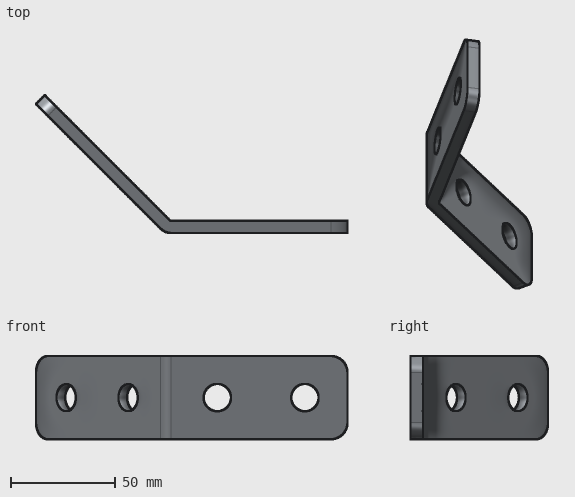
import cadquery as cq
import math

overall_length = 149.4
width = 40.0
thickness = 6.0
bend_angle = 45.0
outer_bend_radius = 7.0
corner_radius = 8.0
hole_diameter = 13.0
end_to_hole = 20.5
hole_spacing = 42.0

inner_bend_radius = outer_bend_radius - thickness
bend_radians = math.radians(bend_angle)
bend_run = outer_bend_radius * math.sin(bend_radians)
leg_length = (overall_length - bend_run) / (1 + math.cos(bend_radians))


def make_leg():
    """Leg along +X from the bend, with its outer face at Y = 0."""
    leg = cq.Workplane("XY").box(leg_length, thickness, width, centered=(False, False, True))
    leg = leg.edges("|Y and >X").fillet(corner_radius)
    outer_hole_x = leg_length - end_to_hole
    hole_centers = [(outer_hole_x, 0), (outer_hole_x - hole_spacing, 0)]
    holes = cq.Workplane("XZ").pushPoints(hole_centers).circle(hole_diameter / 2).extrude(-thickness)
    return leg.cut(holes)


def bend_point(radius, angle):
    """Point on the bend, turned by angle from the straight leg."""
    return (-radius * math.sin(angle), outer_bend_radius - radius * math.cos(angle))


def make_bend():
    """Annular sector, centred on the bend axis, between the two legs."""
    profile = (
        cq.Workplane("XY", origin=(0, 0, -width / 2))
        .moveTo(*bend_point(outer_bend_radius, 0))
        .threePointArc(
            bend_point(outer_bend_radius, bend_radians / 2),
            bend_point(outer_bend_radius, bend_radians),
        )
        .lineTo(*bend_point(inner_bend_radius, bend_radians))
        .threePointArc(
            bend_point(inner_bend_radius, bend_radians / 2),
            bend_point(inner_bend_radius, 0),
        )
        .close()
    )
    return profile.extrude(width)


straight_leg = make_leg()
bend_axis_start = (0, outer_bend_radius, 0)
bend_axis_end = (0, outer_bend_radius, 1)
angled_leg = straight_leg.mirror("YZ").rotate(bend_axis_start, bend_axis_end, -bend_angle)

result = straight_leg.union(make_bend()).union(angled_leg)